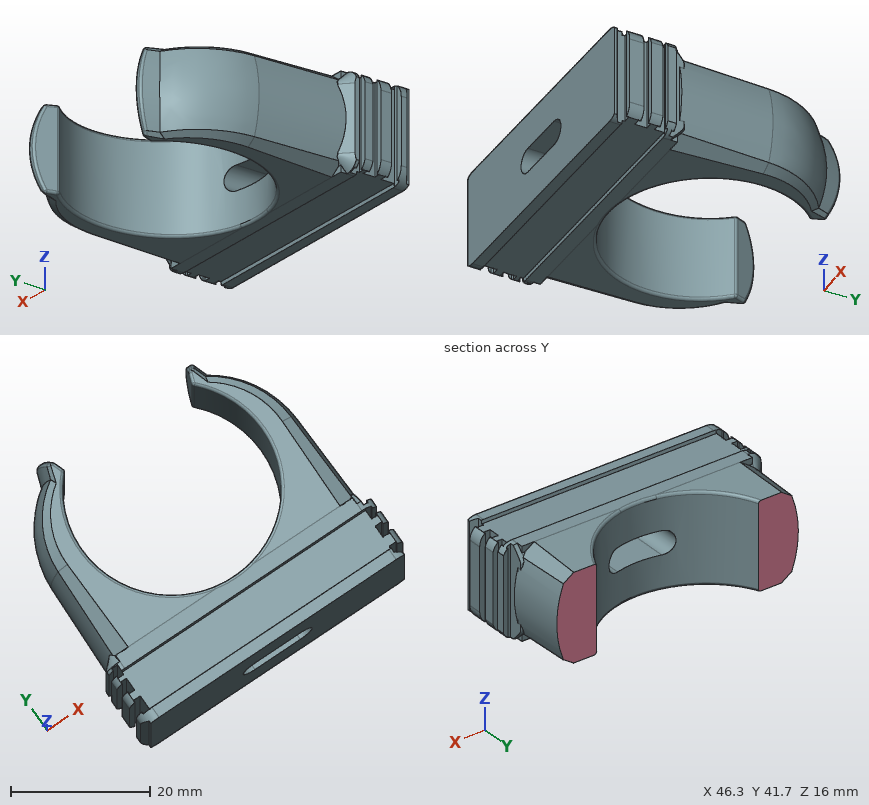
import cadquery as cq
import math


BASE_HALF_LENGTH = 23.15
HALF_HEIGHT = 8.0
BASE_TOP = 11.1
CORNER_RADIUS = 2.5
SHOULDER_START = 10.0
SHOULDER_RISE = 2.0
SHOULDER_ANGLE = 45.0
BASE_CLEARANCE_Y = SHOULDER_START + 2 * SHOULDER_RISE
BAND_BOTTOM = 1.8
BAND_TOP = 8.75
BAND_STEP = 0.13
BAND_DEPTH = 0.55
CUTTER_HALF_LENGTH = 30.0
SLOT_LENGTH = 12.0
SLOT_WIDTH = 4.1

FOOT_X = 22.1
FOOT_HEIGHT = 0.45
FOOT_SLOPE_TOP = 1.1
RAIL_NECK_X = 22.15
RAIL_LIP = 0.36
TOP_HEAD_X = 22.92
UPPER_HEAD_X = 23.08
SMALL_HEAD = 1.4
MEDIUM_HEAD = 1.9
LARGE_HEAD = 2.35
LEFT_UPPER_RAIL_Y = 7.87
LEFT_LOWER_RAIL_Y = 4.84
RIGHT_TOP_RAIL_Y = 9.02
RIGHT_UPPER_RAIL_Y = 6.48
RIGHT_LOWER_RAIL_Y = 3.12
HOOK_BOTTOM = 9.46
KEEL_TOP = 2.16
POCKET_LOW_X = 21.03
POCKET_HIGH_X = 21.2
POCKET_TOP_X = 21.37

BORE_RADIUS = 15.7
BORE_CENTRE_Y = 26.9
RIM_RADIUS = 0.45
RIM_MAX_X = 13.2
RIM_MIN_Y = 37.6
LIP_X = 11.1
LIP_RADIUS = 0.5
TIP_INNER_X = 12.4
TIP_TOP = 41.68

ARM_ROOT_X = 22.0
ARM_BEND_X = 21.5
ARM_BEND_Y = 26.3
ARM_NECK_X = 14.5
ARM_NECK_Y = 38.9
FLARE_TOP_X = 13.6
FLARE_TOP_Y = 41.5
ARM_DEPTH = 10.0
FLARE_DEPTH = 4.0
WEB_LENGTH = 30.0
BEND_OVERRUN = 10.0
FLARE_LENGTH = 8.0
FLARE_OVERLAP = 3.0
CROWN_RADIUS = 17.7
TIP_CROWN_RADIUS = 14.5
CROWN_HALF_WIDTH = 6.4
ARM_BEVEL_INSET = 3.55
FLARE_BEVEL_INSET = 2.6
DRAFT_ANGLE = 2.0


def rail(centre_y, head_height, head_x, upper_floor_x, lower_floor_x):
    """Points down one T-shaped rail, from the pocket above it to the pocket below it."""
    head_top = centre_y + head_height / 2
    head_bottom = centre_y - head_height / 2
    neck_top = head_top - RAIL_LIP
    neck_bottom = head_bottom + RAIL_LIP
    return [
        (upper_floor_x, neck_top),
        (RAIL_NECK_X, neck_top),
        (RAIL_NECK_X, head_top),
        (head_x, head_top),
        (head_x, head_bottom),
        (RAIL_NECK_X, head_bottom),
        (RAIL_NECK_X, neck_bottom),
        (lower_floor_x, neck_bottom),
    ]


def left_end_points():
    """Outline of the left end from top to bottom."""
    hook = [
        (TOP_HEAD_X, BASE_CLEARANCE_Y),
        (TOP_HEAD_X, HOOK_BOTTOM),
        (RAIL_NECK_X, HOOK_BOTTOM),
        (RAIL_NECK_X, HOOK_BOTTOM + RAIL_LIP),
        (POCKET_HIGH_X, HOOK_BOTTOM + RAIL_LIP),
    ]
    upper = rail(LEFT_UPPER_RAIL_Y, SMALL_HEAD, UPPER_HEAD_X, POCKET_HIGH_X, POCKET_HIGH_X)
    lower = rail(LEFT_LOWER_RAIL_Y, MEDIUM_HEAD, BASE_HALF_LENGTH, POCKET_HIGH_X, POCKET_LOW_X)
    keel = [
        (POCKET_LOW_X, KEEL_TOP - RAIL_LIP),
        (RAIL_NECK_X, KEEL_TOP - RAIL_LIP),
        (RAIL_NECK_X, KEEL_TOP),
        (BASE_HALF_LENGTH, KEEL_TOP),
        (BASE_HALF_LENGTH, FOOT_SLOPE_TOP),
        (FOOT_X, FOOT_HEIGHT),
        (FOOT_X, 0),
    ]
    return hook + upper + lower + keel


def right_end_points():
    """Outline of the right end from top to bottom, offset so that clips interlock."""
    top = rail(RIGHT_TOP_RAIL_Y, SMALL_HEAD, TOP_HEAD_X, POCKET_TOP_X, POCKET_HIGH_X)
    upper = rail(RIGHT_UPPER_RAIL_Y, MEDIUM_HEAD, UPPER_HEAD_X, POCKET_HIGH_X, POCKET_LOW_X)
    lower = rail(RIGHT_LOWER_RAIL_Y, LARGE_HEAD, BASE_HALF_LENGTH, POCKET_LOW_X, POCKET_LOW_X)
    foot = [(POCKET_LOW_X, FOOT_SLOPE_TOP), (FOOT_X, FOOT_HEIGHT), (FOOT_X, 0)]
    return [(POCKET_TOP_X, BASE_CLEARANCE_Y)] + top + upper + lower + foot


def base_blank(start_y, height, taper=0):
    """Rounded bar growing along +Y from start_y."""
    sketch = cq.Sketch().rect(2 * BASE_HALF_LENGTH, 2 * HALF_HEIGHT).vertices().fillet(CORNER_RADIUS)
    plane = cq.Plane(origin=(0, start_y, 0), xDir=(1, 0, 0), normal=(0, 1, 0))
    return cq.Workplane(plane).placeSketch(sketch).extrude(height, taper=taper)


def make_base():
    """Mounting bar with shoulder, interlocking ends and a recessed band on both large faces."""
    blank = base_blank(0, SHOULDER_START)
    shoulder = base_blank(SHOULDER_START, SHOULDER_RISE, taper=SHOULDER_ANGLE)
    flat_length = 2 * (BASE_HALF_LENGTH - CORNER_RADIUS)
    flange = cq.Workplane("XY").box(flat_length, BASE_TOP, 2 * HALF_HEIGHT, centered=(True, False, True))
    base = blank.union(shoulder).union(flange)

    left = [(-x, y) for x, y in left_end_points()]
    outline = left + right_end_points()[::-1]
    ends = cq.Workplane("XY").polyline(outline).close().extrude(HALF_HEIGHT, both=True)
    base = base.intersect(ends)

    floor_z = HALF_HEIGHT - BAND_DEPTH
    band = (
        cq.Workplane("YZ")
        .polyline([
            (BAND_BOTTOM, HALF_HEIGHT),
            (BAND_BOTTOM + BAND_STEP, floor_z),
            (BAND_TOP - BAND_STEP, floor_z),
            (BAND_TOP, HALF_HEIGHT),
        ])
        .close()
        .extrude(CUTTER_HALF_LENGTH, both=True)
    )
    return base.cut(band).cut(band.mirror("XY"))


def arm_section(point, direction, depth, bevel_inset):
    """Crowned arm section at a point of the outer path, lying inward (+X side) of it."""
    inward = (direction[1], -direction[0], 0)
    plane = cq.Plane(origin=(*point, 0), xDir=inward, normal=(*direction, 0))
    crown_sag = CROWN_RADIUS - math.sqrt(CROWN_RADIUS**2 - CROWN_HALF_WIDTH**2)
    return (
        cq.Workplane(plane)
        .moveTo(depth, -HALF_HEIGHT)
        .lineTo(bevel_inset, -HALF_HEIGHT)
        .lineTo(crown_sag, -CROWN_HALF_WIDTH)
        .threePointArc((0, 0), (crown_sag, CROWN_HALF_WIDTH))
        .lineTo(bevel_inset, HALF_HEIGHT)
        .lineTo(depth, HALF_HEIGHT)
        .close()
    )


def unit(start, end):
    """Unit vector from start to end."""
    length = math.dist(start, end)
    return ((end[0] - start[0]) / length, (end[1] - start[1]) / length)


def make_envelope():
    """Drafted wedge with a crowned end that trims both arms."""
    slope = math.tan(math.radians(DRAFT_ANGLE))
    wedge_top = HALF_HEIGHT - slope * (TIP_TOP - BASE_TOP)
    wedge = (
        cq.Workplane("YZ")
        .polyline([
            (BASE_TOP, -HALF_HEIGHT),
            (TIP_TOP, -wedge_top),
            (TIP_TOP, wedge_top),
            (BASE_TOP, HALF_HEIGHT),
        ])
        .close()
        .extrude(CUTTER_HALF_LENGTH, both=True)
    )
    sag = TIP_CROWN_RADIUS - math.sqrt(TIP_CROWN_RADIUS**2 - HALF_HEIGHT**2)
    crown = (
        cq.Workplane("YZ")
        .moveTo(BASE_TOP, -HALF_HEIGHT)
        .lineTo(TIP_TOP - sag, -HALF_HEIGHT)
        .threePointArc((TIP_TOP, 0), (TIP_TOP - sag, HALF_HEIGHT))
        .lineTo(BASE_TOP, HALF_HEIGHT)
        .close()
        .extrude(CUTTER_HALF_LENGTH, both=True)
    )
    return wedge.intersect(crown)


def make_arm():
    """Left arm: straight shank, bend about an axis along Z, and flared tip."""
    root = (-ARM_ROOT_X, BASE_TOP)
    bend = (-ARM_BEND_X, ARM_BEND_Y)
    neck = (-ARM_NECK_X, ARM_NECK_Y)
    flare_top = (-FLARE_TOP_X, FLARE_TOP_Y)

    shank_direction = unit(root, bend)
    shank_section = arm_section(root, shank_direction, ARM_DEPTH, ARM_BEVEL_INSET)
    shank = shank_section.extrude(math.dist(root, bend))

    inward = (shank_direction[1], -shank_direction[0])
    to_neck = (neck[0] - bend[0], neck[1] - bend[1])
    reach = to_neck[0] * inward[0] + to_neck[1] * inward[1]
    bend_radius = math.dist(bend, neck) ** 2 / (2 * reach)
    half_angle = math.asin(math.dist(bend, neck) / (2 * bend_radius))
    bend_angle = 2 * math.degrees(half_angle)
    bend_section = arm_section(bend, shank_direction, ARM_DEPTH, ARM_BEVEL_INSET)
    curve = bend_section.revolve(bend_angle + BEND_OVERRUN, (bend_radius, -1, 0), (bend_radius, 1, 0))

    flare_direction = unit(neck, flare_top)
    flare_start = (
        neck[0] - FLARE_OVERLAP * flare_direction[0],
        neck[1] - FLARE_OVERLAP * flare_direction[1],
    )
    flare_section = arm_section(flare_start, flare_direction, FLARE_DEPTH, FLARE_BEVEL_INSET)
    flare = flare_section.extrude(FLARE_LENGTH)
    return shank.union(curve).union(flare).intersect(make_envelope())


def make_bore():
    """Pipe bore opened between the lips, with a mouth that widens towards the tips."""
    lip_y = BORE_CENTRE_Y + math.sqrt(BORE_RADIUS**2 - LIP_X**2)
    return (
        cq.Workplane("XY")
        .moveTo(-LIP_X, lip_y)
        .threePointArc((0, BORE_CENTRE_Y - BORE_RADIUS), (LIP_X, lip_y))
        .lineTo(TIP_INNER_X, TIP_TOP)
        .lineTo(-TIP_INNER_X, TIP_TOP)
        .close()
        .extrude(HALF_HEIGHT, both=True)
        .edges("|Z and (not >Y)")
        .fillet(LIP_RADIUS)
    )


def is_rim_edge(edge):
    """True for the edges that run around the bore ends, the lips and the tip ends."""
    ends = (edge.startPoint(), edge.endPoint())
    crosses_mid_plane = ends[0].z * ends[1].z < 0
    along_z = edge.geomType() == "LINE" and crosses_mid_plane
    in_mouth = all(abs(point.x) < RIM_MAX_X and point.y > RIM_MIN_Y for point in ends)
    return in_mouth and not along_z


def make_web():
    """Solid between the arm roots, joined to the base."""
    height = BORE_CENTRE_Y - BASE_TOP
    web = cq.Workplane("XY").box(WEB_LENGTH, height, 2 * HALF_HEIGHT)
    return web.translate((0, BASE_TOP + height / 2, 0)).intersect(make_envelope())


def make_slot():
    """Screw slot from the mounting face into the bore."""
    return cq.Workplane("XZ").slot2D(SLOT_LENGTH, SLOT_WIDTH).extrude(-BORE_CENTRE_Y)


left_arm = make_arm()
right_arm = left_arm.mirror("YZ")
clip = left_arm.union(right_arm).union(make_web()).union(make_base())
clip = clip.cut(make_bore()).cut(make_slot())
rim_edges = [edge for edge in clip.edges().vals() if is_rim_edge(edge)]
result = clip.newObject(rim_edges).fillet(RIM_RADIUS)